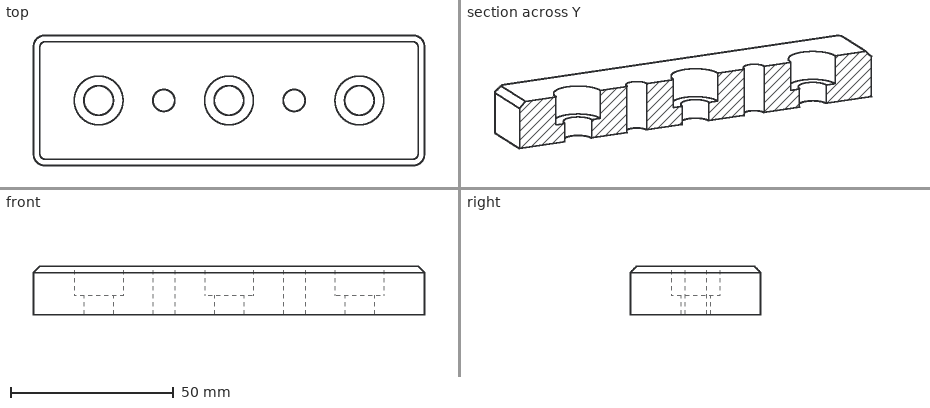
import cadquery as cq

length = 120.0
width = 40.0
height = 15.0
corner_radius = 3.5
top_chamfer = 2.0

bolt_pitch = 40.0
bolt_diameter = 9.0
counterbore_diameter = 15.0
counterbore_depth = 9.0
pin_diameter = 6.65

bolt_points = [(i * bolt_pitch, 0) for i in (-1, 0, 1)]
pin_points = [(side * bolt_pitch / 2, 0) for side in (-1, 1)]


def make_block():
    """Plate standing on Z = 0 with rounded corners and a chamfered top rim."""
    block = cq.Workplane("XY").box(length, width, height, centered=(True, True, False))
    block = block.edges("|Z").fillet(corner_radius)
    return block.faces(">Z").edges().chamfer(top_chamfer)


def cut_bolt_holes(body):
    """Counterbored through holes, one in the middle and one each side."""
    top = body.faces(">Z").workplane(origin=(0, 0, height))
    return top.pushPoints(bolt_points).cboreHole(bolt_diameter, counterbore_diameter, counterbore_depth)


def cut_pin_holes(body):
    """Plain through holes midway between neighbouring bolt holes."""
    top = body.faces(">Z").workplane(origin=(0, 0, height))
    return top.pushPoints(pin_points).hole(pin_diameter)


result = cut_pin_holes(cut_bolt_holes(make_block()))